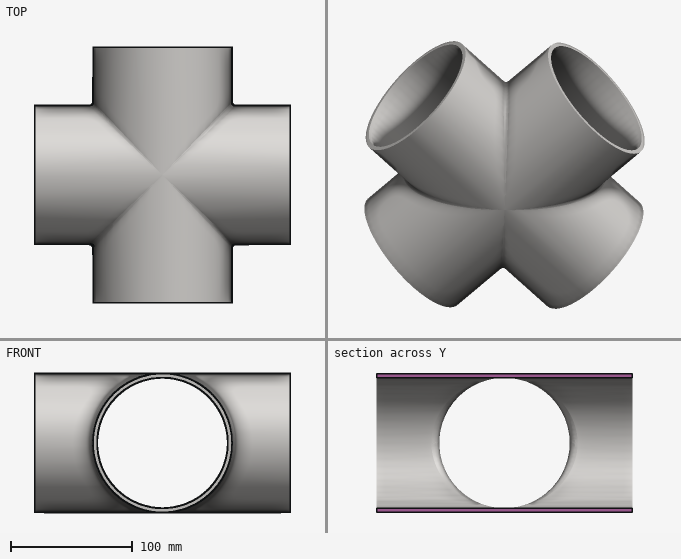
import cadquery as cq

length = 210.0
outer_diameter = 114.2
inner_diameter = 107.0
wall = (outer_diameter - inner_diameter) / 2

outer_crotch_radius = 3.0
inner_crotch_radius = outer_crotch_radius + wall


def pipe_cross(diameter, crotch_radius):
    """Two equal cylinders along X and Y, with the four seams between their arms rounded."""
    along_x = cq.Workplane("YZ").circle(diameter / 2).extrude(length / 2, both=True)
    along_y = cq.Workplane("XZ").circle(diameter / 2).extrude(length / 2, both=True)
    return along_x.union(along_y).edges("%ELLIPSE").fillet(crotch_radius)


body = pipe_cross(outer_diameter, outer_crotch_radius)
bores = pipe_cross(inner_diameter, inner_crotch_radius)
result = body.cut(bores)